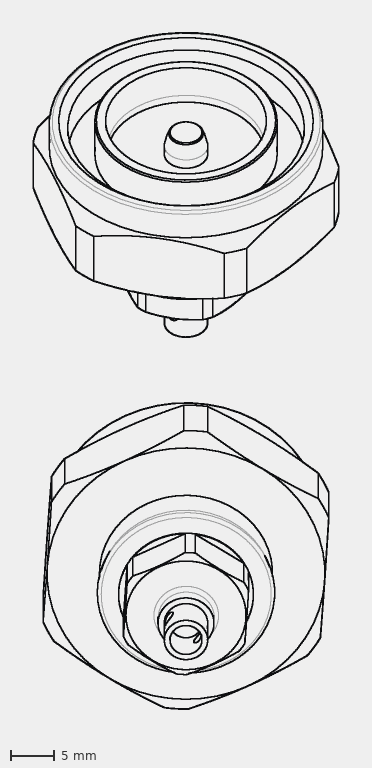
import cadquery as cq
import math


TAIL_DIAMETER = 5.0
TAIL_RADIUS = TAIL_DIAMETER / 2
SOLDER_CUP_RADIUS = 1.85
CROSS_HOLE_DIAMETER = 1.7
CROSS_HOLE_Z = 2.98

COLLAR_RADIUS = 3.23
COLLAR_BOTTOM_Z = 4.5
COLLAR_FILLET = 0.5

BEVEL_ANGLE = math.radians(30)

SMALL_HEX_FLATS = 14.02
SMALL_HEX_CORNER_RADIUS = 7.77
SMALL_HEX_BOTTOM_Z = 6.65
SMALL_HEX_FACE_RADIUS = 6.92
WASHER_THICKNESS = 0.15

BODY_RADIUS = 9.97
BODY_BOTTOM_Z = 12.35
RIM_RADIUS = 10.22
RIM_ROUND = 0.43
RIM_TOP_Z = 13.95

NUT_FLATS = 32.0
NUT_CORNER_RADIUS = 17.75
NUT_BOTTOM_Z = 17.9
NUT_HEX_TOP_Z = 26.9
SLEEVE_RADIUS = 15.75
SLEEVE_TOP_Z = 30.85
SLEEVE_ROUND = 0.32
NUT_MOUTH_RADIUS = 14.65
NUT_BORE_RADIUS = 13.63
NUT_MOUTH_DEPTH = 0.95

FLOOR_Z = 25.9
RING_TOP_Z = 31.0
RING_OUTER_RADIUS = 10.5
RING_CHAMFER = 0.18
RING_MOUTH_RADIUS = 9.25
RING_BORE_RADIUS = 9.05
RING_TAPER_END_Z = 26.97

PIN_TIP_Z = 29.2
PIN_TIP_RADIUS = 2.0
PIN_TIP_CHAMFER = 0.15
PIN_NOSE_START_Z = 27.22
PIN_NOSE_BULGE = 0.07


def cylinder(radius, bottom_z, top_z):
    return cq.Workplane("XY").workplane(offset=bottom_z).circle(radius).extrude(top_z - bottom_z)


def turned(profile):
    """Revolve a closed (radius, z) outline about the Z axis."""
    return profile.close().revolve(360, (0, 0, 0), (0, 1, 0))


def outline(*start):
    return cq.Workplane("XZ").moveTo(*start)


def bevelled_hexagon(flats, corner_radius, bottom_z, top_z, bottom_face_radius, top_face_radius):
    """Hexagon with rounded corners, two of them toward +Y and -Y, coned at its ends.

    Each cone narrows to its face radius. A top face radius equal to the corner radius leaves
    the top square.
    """
    slope = math.tan(BEVEL_ANGLE)
    hexagon = (
        cq.Workplane("XY")
        .workplane(offset=bottom_z)
        .polygon(6, flats / math.cos(math.pi / 6))
        .extrude(top_z - bottom_z)
        .rotate((0, 0, 0), (0, 0, 1), 30)
    )
    blank = (
        outline(0, bottom_z)
        .lineTo(bottom_face_radius, bottom_z)
        .lineTo(corner_radius, bottom_z + (corner_radius - bottom_face_radius) * slope)
    )
    if top_face_radius < corner_radius:
        blank = blank.lineTo(corner_radius, top_z - (corner_radius - top_face_radius) * slope)
    blank = blank.lineTo(top_face_radius, top_z).lineTo(0, top_z)
    return hexagon.intersect(turned(blank))


def tail():
    shaft = cylinder(TAIL_RADIUS, 0, COLLAR_BOTTOM_Z)
    cross_hole = (
        cq.Workplane("XZ")
        .center(0, CROSS_HOLE_Z)
        .circle(CROSS_HOLE_DIAMETER / 2)
        .extrude(2 * TAIL_RADIUS, both=True)
    )
    return shaft.cut(cylinder(SOLDER_CUP_RADIUS, 0, COLLAR_BOTTOM_Z)).cut(cross_hole)


def collar():
    root_radius = COLLAR_RADIUS + COLLAR_FILLET
    fillet_start_z = SMALL_HEX_BOTTOM_Z - COLLAR_FILLET
    fillet_reach = COLLAR_FILLET * math.cos(math.pi / 4)
    fillet_middle = (root_radius - fillet_reach, fillet_start_z + fillet_reach)
    return turned(
        outline(0, COLLAR_BOTTOM_Z)
        .lineTo(COLLAR_RADIUS, COLLAR_BOTTOM_Z)
        .lineTo(COLLAR_RADIUS, fillet_start_z)
        .threePointArc(fillet_middle, (root_radius, SMALL_HEX_BOTTOM_Z))
        .lineTo(0, SMALL_HEX_BOTTOM_Z)
    )


def small_hexagon():
    hex_top_z = BODY_BOTTOM_Z - WASHER_THICKNESS
    hexagon = bevelled_hexagon(
        SMALL_HEX_FLATS,
        SMALL_HEX_CORNER_RADIUS,
        SMALL_HEX_BOTTOM_Z,
        hex_top_z,
        bottom_face_radius=SMALL_HEX_FACE_RADIUS,
        top_face_radius=SMALL_HEX_CORNER_RADIUS,
    )
    return hexagon.union(cylinder(SMALL_HEX_CORNER_RADIUS, hex_top_z, BODY_BOTTOM_Z))


def body():
    round_top_z = BODY_BOTTOM_Z + RIM_ROUND
    return turned(
        outline(0, BODY_BOTTOM_Z)
        .lineTo(RIM_RADIUS - RIM_ROUND, BODY_BOTTOM_Z)
        .radiusArc((RIM_RADIUS, round_top_z), -RIM_ROUND)
        .lineTo(BODY_RADIUS, RIM_TOP_Z)
        .lineTo(BODY_RADIUS, NUT_BOTTOM_Z)
        .lineTo(0, NUT_BOTTOM_Z)
    )


def coupling_nut():
    hexagon = bevelled_hexagon(
        NUT_FLATS,
        NUT_CORNER_RADIUS,
        NUT_BOTTOM_Z,
        NUT_HEX_TOP_Z,
        bottom_face_radius=NUT_FLATS / 2,
        top_face_radius=SLEEVE_RADIUS,
    )
    sleeve = cylinder(SLEEVE_RADIUS, NUT_HEX_TOP_Z, SLEEVE_TOP_Z).faces(">Z").edges().fillet(SLEEVE_ROUND)
    recess = turned(
        outline(0, FLOOR_Z)
        .lineTo(NUT_BORE_RADIUS, FLOOR_Z)
        .lineTo(NUT_BORE_RADIUS, SLEEVE_TOP_Z - NUT_MOUTH_DEPTH)
        .lineTo(NUT_MOUTH_RADIUS, SLEEVE_TOP_Z)
        .lineTo(0, SLEEVE_TOP_Z)
    )
    return hexagon.union(sleeve).cut(recess)


def contact_ring():
    return turned(
        outline(RING_BORE_RADIUS, FLOOR_Z)
        .lineTo(RING_OUTER_RADIUS, FLOOR_Z)
        .lineTo(RING_OUTER_RADIUS, RING_TOP_Z - RING_CHAMFER)
        .lineTo(RING_OUTER_RADIUS - RING_CHAMFER, RING_TOP_Z)
        .lineTo(RING_MOUTH_RADIUS, RING_TOP_Z)
        .lineTo(RING_BORE_RADIUS, RING_TAPER_END_Z)
    )


def centre_pin():
    return turned(
        outline(0, FLOOR_Z)
        .lineTo(TAIL_RADIUS, FLOOR_Z)
        .lineTo(TAIL_RADIUS, PIN_NOSE_START_Z)
        .sagittaArc((PIN_TIP_RADIUS, PIN_TIP_Z - PIN_TIP_CHAMFER), -PIN_NOSE_BULGE)
        .lineTo(PIN_TIP_RADIUS - PIN_TIP_CHAMFER, PIN_TIP_Z)
        .lineTo(0, PIN_TIP_Z)
    )


result = tail()
for section in (collar(), small_hexagon(), body(), coupling_nut(), contact_ring(), centre_pin()):
    result = result.union(section)